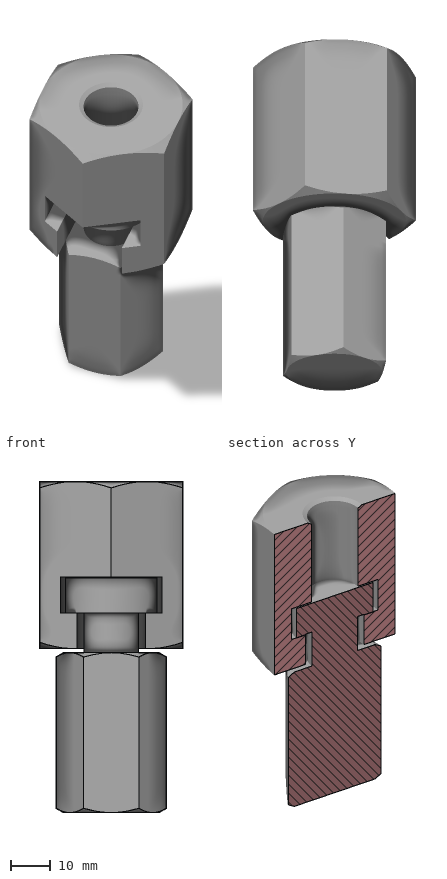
import cadquery as cq
import math

total_height = 83.2
chamfer_slope = math.tan(math.radians(30))

housing_corners = 41.6
housing_height = 42.0
housing_bottom = total_height - housing_height
bore_diameter = 13.8
countersink_diameter = 16.05
countersink_depth = (countersink_diameter - bore_diameter) / 2 * chamfer_slope

head_slot_width = 25.6
neck_slot_width = 17.3
lip_height = 9.0
head_slot_height = 9.0
head_slot_bottom = housing_bottom + lip_height

shank_flats = 24.05
shank_corners = shank_flats / math.cos(math.pi / 6)
shank_height = 40.2
neck_diameter = 13.8
head_diameter = 23.0
head_clearance = 0.25
head_height = head_slot_height - head_clearance


def chamfered_hexagon(corners, height, turn):
    """Hexagonal prism on Z = 0 whose corners are cut by a cone at both ends."""
    prism = cq.Workplane("XY").polygon(6, corners).extrude(height)
    prism = prism.rotate((0, 0, 0), (0, 0, 1), turn)
    corner_radius = corners / 2
    end_radius = corner_radius * math.cos(math.pi / 6)
    drop = (corner_radius - end_radius) * chamfer_slope
    envelope = (
        cq.Workplane("XZ")
        .polyline([
            (0, 0),
            (end_radius, 0),
            (corner_radius, drop),
            (corner_radius, height - drop),
            (end_radius, height),
            (0, height),
        ])
        .close()
        .revolve(360, (0, 0, 0), (0, 1, 0))
    )
    return prism.intersect(envelope)


def cylinder(diameter, bottom, height):
    """Round bar on the Z axis."""
    return cq.Workplane("XY").workplane(offset=bottom).circle(diameter / 2).extrude(height)


def open_slot(width, bottom, height):
    """Slot cutter from the axis out through the -Y side, with a round inner end."""
    straight = (
        cq.Workplane("XY")
        .box(width, housing_corners, height, centered=(True, False, False))
        .translate((0, -housing_corners, bottom))
    )
    return straight.union(cylinder(width, bottom, height))


def make_housing():
    body = chamfered_hexagon(housing_corners, housing_height, 90)
    body = body.translate((0, 0, housing_bottom))
    body = body.faces(">Z").workplane(origin=(0, 0, 0)).circle(bore_diameter / 2)
    body = body.cutBlind(head_slot_bottom - total_height)
    countersink = cq.Workplane(cq.Solid.makeCone(
        bore_diameter / 2,
        countersink_diameter / 2,
        countersink_depth,
        pnt=cq.Vector(0, 0, total_height - countersink_depth),
    ))
    body = body.cut(countersink)
    body = body.cut(open_slot(head_slot_width, head_slot_bottom, head_slot_height))
    return body.cut(open_slot(neck_slot_width, housing_bottom, lip_height))


def make_stud():
    shank = chamfered_hexagon(shank_corners, shank_height, 0)
    neck = cylinder(neck_diameter, shank_height, head_slot_bottom - shank_height)
    head = cylinder(head_diameter, head_slot_bottom, head_height)
    return shank.union(neck).union(head)


housing = make_housing().solids()
stud = make_stud().solids()

result = cq.Compound.makeCompound([housing.val(), stud.val()])